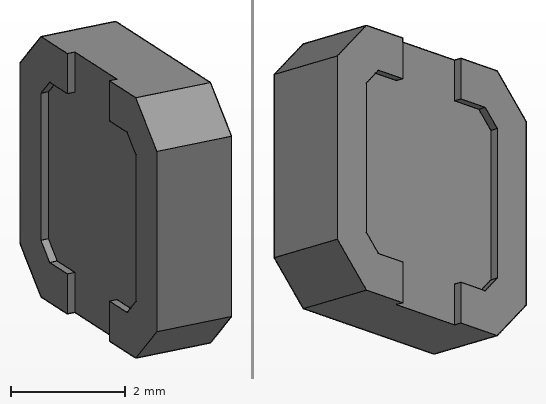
import cadquery as cq
import math

side = 4.88
thickness = 1.5
corner_cut = 0.75

recess_depth = 0.15
rim_width = 0.75
channel_width = 1.5

recess_side = side - 2 * rim_width
recess_corner_cut = corner_cut - rim_width * (2 - math.sqrt(2))


def cut_corner_block(width, depth, cut):
    """Square block with its four corners cut at 45 degrees and its front face on Y = 0."""
    block = cq.Workplane("XY").box(width, depth, width, centered=(True, False, True))
    return block.edges("|Y").chamfer(cut)


body = cut_corner_block(side, thickness, corner_cut)
recess = cut_corner_block(recess_side, recess_depth, recess_corner_cut)
channel = cq.Workplane("XY").box(channel_width, recess_depth, side, centered=(True, False, True))

result = body.cut(recess).cut(channel)